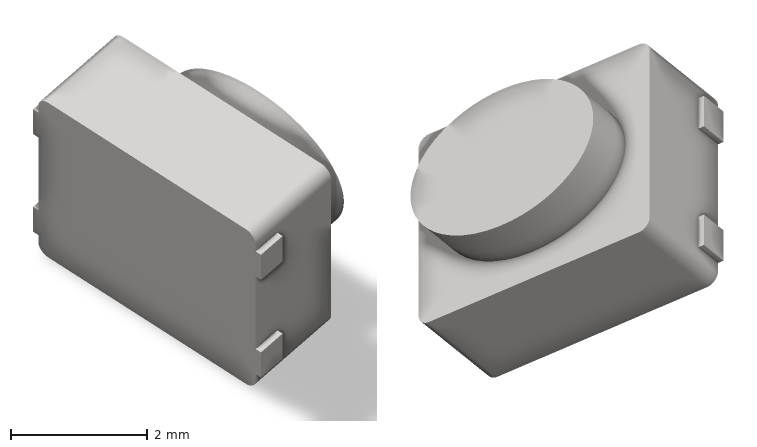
import cadquery as cq

overall_width = 4.4
terminal_protrusion = 0.1
housing_width = overall_width - 2 * terminal_protrusion
housing_height = 3.4
overall_depth = 2.5
button_depth = 0.8
housing_depth = overall_depth - button_depth
corner_radius = 0.2

button_width = 3.318
button_height = 2.46

terminal_height = 0.55
terminal_depth = 0.49
terminal_spacing = 2.145


def make_housing():
    return (
        cq.Workplane("XY")
        .box(housing_width, housing_depth, housing_height, centered=(True, False, True))
        .edges("|Y")
        .fillet(corner_radius)
    )


def make_button():
    return (
        cq.Workplane("XZ", origin=(0, housing_depth, 0))
        .ellipse(button_width / 2, button_height / 2)
        .extrude(-button_depth)
    )


def make_terminal_bar(center_z):
    """Bar through the housing whose two ends form a pair of terminals."""
    return (
        cq.Workplane("XY")
        .box(overall_width, terminal_depth, terminal_height, centered=(True, False, True))
        .translate((0, 0, center_z))
    )


result = make_housing().union(make_button())
for side in (-1, 1):
    result = result.union(make_terminal_bar(side * terminal_spacing / 2))